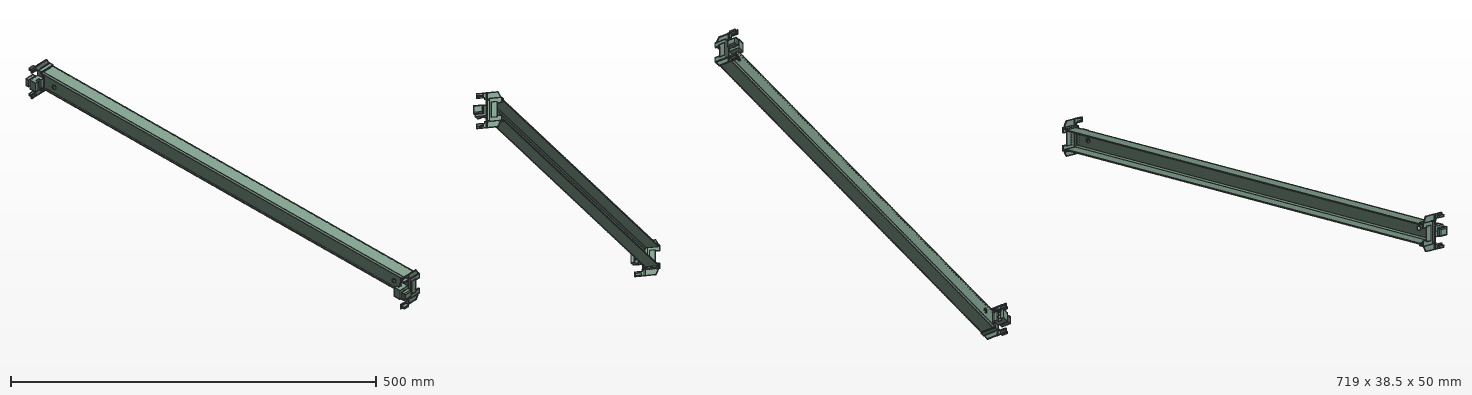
import cadquery as cq

OVERALL_LENGTH = 719.0
BACK_Y = 19.25
FRONT_Y = -BACK_Y

BAR_HALF_LENGTH = 344.0
BAR_HALF_HEIGHT = 14.5
BAR_FRONT_Y = -1.75
BAR_WALL = 1.5
BEVEL_HEIGHT = 2.5
BEVEL_DEPTH = 1.8
HOLE_DIAMETER = 6.5
HOLE_X = 322.0

PLATE_OUTER_X = 350.5
PLATE_THICKNESS = 1.5
PLATE_HALF_HEIGHT = 25.0
SHOULDER_Y = 13.5
SLOPE_END_Y = 17.0
SLEEVE_THICKNESS = 2.0
SLEEVE_OUTER_Z = BAR_HALF_HEIGHT + SLEEVE_THICKNESS
SLOPE_END_Z = 18.0
NOTCH_HALF_HEIGHT = 9.2
NOTCH_Y = 12.5
FLANGE_THICKNESS = 2.0
FLANGE_FRONT_Y = BAR_FRONT_Y - FLANGE_THICKNESS
SLEEVE_END_X = BAR_HALF_LENGTH - 0.5
FLANGE_TAPER_X = 347.0
FLANGE_TIP_X = 339.5
FLANGE_TIP_HALF_HEIGHT = 8.5

RAISED_X = PLATE_OUTER_X + 0.5
PAD_FRONT_Y = 1.5
WINDOW_FRONT_Y = 4.0
WINDOW_HALF_HEIGHT = 11.0

ARM_ROOT_Z = 16.0
ARM_ROOT_Y = -6.0
ARM_INNER_Z = 18.5
ARM_TIP_Y = -17.0
LUG_HEIGHT = 3.0
LUG_DEPTH = 8.5
LUG_TIP_X = 355.5
LUG_Z = (ARM_INNER_Z + PLATE_HALF_HEIGHT) / 2
LUG_Y = (ARM_ROOT_Y + ARM_TIP_Y) / 2

CLAMP_OUTER_X = PLATE_OUTER_X
CLAMP_MID_Y = (FLANGE_FRONT_Y + FRONT_Y) / 2
CLAMP_HALF_HEIGHT = 7.6
SLOT_DEPTH = 4.0
SLOT_WIDTH = 6.0
SLOT_FLOOR_X = FLANGE_TIP_X + SLOT_DEPTH

KNOB_OUTER_X = OVERALL_LENGTH / 2
HEAD_THICKNESS = 6.0
HEAD_DEPTH = 14.0
HEAD_HEIGHT = 11.4
HEAD_CHAMFER = 1.5
STEM_DIAMETER = 7.0


def box(x_range, y_range, z_range):
    """Axis-aligned box between the given limits."""
    lows, highs = zip(*(sorted(limits) for limits in (x_range, y_range, z_range)))
    sizes = [high - low for low, high in zip(lows, highs)]
    return cq.Workplane("XY").box(*sizes, centered=False).translate(lows)


def symmetric(half):
    """Limits placed evenly about zero."""
    return (-half, half)


def channel_outline(inset):
    """Bevelled channel outline in Y and Z, inset from the outer faces by a wall."""
    half = BAR_HALF_HEIGHT - inset
    front = BAR_FRONT_Y + inset
    return [
        (BACK_Y, -half),
        (front + BEVEL_DEPTH, -half),
        (front, BEVEL_HEIGHT - half),
        (front, half - BEVEL_HEIGHT),
        (front + BEVEL_DEPTH, half),
        (BACK_Y, half),
    ]


def make_bar():
    """Channel open at the back, with a screw hole through the front near each end."""
    ends = cq.Workplane("YZ", origin=(-BAR_HALF_LENGTH, 0, 0))
    length = 2 * BAR_HALF_LENGTH
    bar = ends.polyline(channel_outline(0)).close().extrude(length)
    bar = bar.cut(ends.polyline(channel_outline(BAR_WALL)).close().extrude(length))
    holes = (
        cq.Workplane("XZ", origin=(0, BACK_Y, 0))
        .pushPoints([(-HOLE_X, 0), (HOLE_X, 0)])
        .circle(HOLE_DIAMETER / 2)
        .extrude(BACK_Y - BAR_FRONT_Y)
    )
    return bar.cut(holes)


def end_plate():
    """Plate across the bar end, with two back tabs and two front arms."""
    upper = [
        (FLANGE_FRONT_Y, ARM_ROOT_Z),
        (ARM_ROOT_Y, ARM_ROOT_Z),
        (ARM_ROOT_Y, ARM_INNER_Z),
        (ARM_TIP_Y, ARM_INNER_Z),
        (ARM_TIP_Y, PLATE_HALF_HEIGHT),
        (SHOULDER_Y, PLATE_HALF_HEIGHT),
        (SLOPE_END_Y, SLOPE_END_Z),
        (SLOPE_END_Y, SLEEVE_OUTER_Z),
        (BACK_Y, SLEEVE_OUTER_Z),
        (BACK_Y, NOTCH_HALF_HEIGHT),
        (NOTCH_Y, NOTCH_HALF_HEIGHT),
    ]
    lower = [(y, -z) for y, z in reversed(upper)]
    plane = cq.Workplane("YZ", origin=(-PLATE_OUTER_X, 0, 0))
    return plane.polyline(upper + lower).close().extrude(PLATE_THICKNESS)


def raised_areas():
    """Windowed pad over the back of the plate, and a rib along its front edge."""
    thickness = (-RAISED_X, -PLATE_OUTER_X)
    pad = box(thickness, (PAD_FRONT_Y, BACK_Y), symmetric(SLEEVE_OUTER_Z))
    notch = box(thickness, (NOTCH_Y, BACK_Y), symmetric(NOTCH_HALF_HEIGHT))
    window = box(thickness, (WINDOW_FRONT_Y, NOTCH_Y), symmetric(WINDOW_HALF_HEIGHT))
    rib = box(thickness, (FLANGE_FRONT_Y, BAR_FRONT_Y), symmetric(PLATE_HALF_HEIGHT))
    return pad.cut(notch).cut(window).union(rib)


def front_flange():
    """Flange in front of the bar, tapering toward the middle of the bar."""
    upper = [
        (-PLATE_OUTER_X, SLEEVE_OUTER_Z),
        (-FLANGE_TAPER_X, SLEEVE_OUTER_Z),
        (-FLANGE_TIP_X, FLANGE_TIP_HALF_HEIGHT),
    ]
    lower = [(x, -z) for x, z in reversed(upper)]
    plane = cq.Workplane("XZ", origin=(0, BAR_FRONT_Y, 0))
    return plane.polyline(upper + lower).close().extrude(FLANGE_THICKNESS)


def make_bracket():
    """Bracket for the -X end."""
    bracket = end_plate().union(raised_areas()).union(front_flange())
    for side in (-1, 1):
        sleeve = box(
            (-PLATE_OUTER_X, -SLEEVE_END_X),
            (FLANGE_FRONT_Y, BACK_Y),
            (side * BAR_HALF_HEIGHT, side * SLEEVE_OUTER_Z),
        )
        lug = box(
            (-LUG_TIP_X, -PLATE_OUTER_X),
            (LUG_Y - LUG_DEPTH / 2, LUG_Y + LUG_DEPTH / 2),
            (side * LUG_Z - LUG_HEIGHT / 2, side * LUG_Z + LUG_HEIGHT / 2),
        )
        bracket = bracket.union(sleeve).union(lug)
    return bracket


def make_stem():
    """Stem along X from the back of the head to the floor of the clamp slot, at the -X end."""
    plane = cq.Workplane("YZ", origin=(-KNOB_OUTER_X + HEAD_THICKNESS, CLAMP_MID_Y, 0))
    return plane.circle(STEM_DIAMETER / 2).extrude(KNOB_OUTER_X - HEAD_THICKNESS - SLOT_FLOOR_X)


def make_clamp():
    """Slotted block for the -X end, bored for the knob stem."""
    block = box((-CLAMP_OUTER_X, -FLANGE_TIP_X), (FRONT_Y, FLANGE_FRONT_Y), symmetric(CLAMP_HALF_HEIGHT))
    slot = box(
        (-SLOT_FLOOR_X, -FLANGE_TIP_X),
        (CLAMP_MID_Y - SLOT_WIDTH / 2, CLAMP_MID_Y + SLOT_WIDTH / 2),
        symmetric(CLAMP_HALF_HEIGHT),
    )
    return block.cut(slot).cut(make_stem())


def make_knob():
    """Knob for the -X end, its outer face bevelled all around."""
    head = box(
        (-KNOB_OUTER_X, -KNOB_OUTER_X + HEAD_THICKNESS),
        (FRONT_Y, FRONT_Y + HEAD_DEPTH),
        symmetric(HEAD_HEIGHT / 2),
    )
    head = head.faces("<X").edges().chamfer(HEAD_CHAMFER)
    return head.union(make_stem())


bodies = [make_bar().val()]
for make_body in (make_bracket, make_clamp, make_knob):
    left_body = make_body()
    bodies.append(left_body.val())
    bodies.append(left_body.mirror("YZ").val())

result = cq.Compound.makeCompound(bodies)